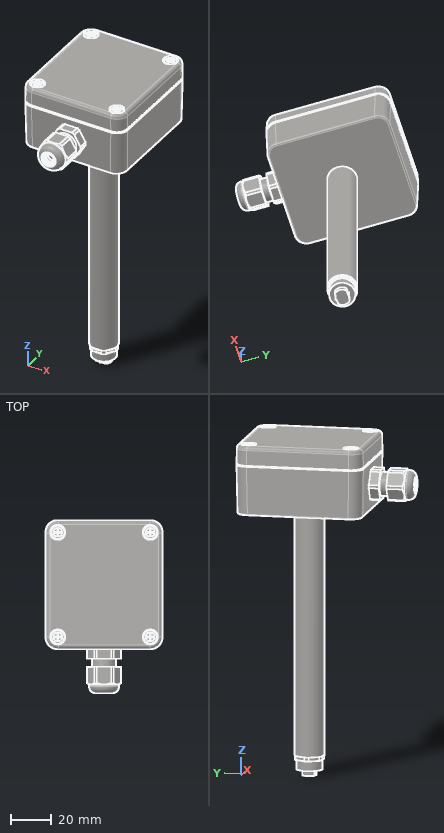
import cadquery as cq
import math

TOTAL_HEIGHT = 170.0
BOX_HEIGHT = 35.0
LID_HEIGHT = 9.9
SEAM_HEIGHT = 0.5
BASE_BOTTOM = TOTAL_HEIGHT - BOX_HEIGHT
SPLIT_HEIGHT = TOTAL_HEIGHT - LID_HEIGHT
BASE_HEIGHT = SPLIT_HEIGHT - SEAM_HEIGHT - BASE_BOTTOM

BOX_WIDTH = 58.0
BOX_DEPTH = 64.0
CORNER_RADIUS = 6.1
DRAFT_ANGLE = 1.0
LID_EDGE_RADIUS = 2.0
BASE_EDGE_RADIUS = 0.8
SEAM_INSET = 0.5

SCREW_SPACING_X = BOX_WIDTH - 2 * CORNER_RADIUS
SCREW_SPACING_Y = BOX_DEPTH - 2 * CORNER_RADIUS
COUNTERBORE_DIAMETER = 7.5
COUNTERBORE_DEPTH = 3.0
SCREW_DIAMETER = 6.5
SCREW_RIM_WIDTH = 1.0
SCREW_RIM_DROP = 0.8
RECESS_LENGTH = 3.5
RECESS_WIDTH = 0.7
RECESS_DEPTH = 1.4

GLAND_HEIGHT = 148.0
GLAND_EMBEDMENT = 1.7
GLAND_END = 53.7
GLAND_FLATS = 15.3
GLAND_CORNERS = 16.8
GLAND_BASE_END = 36.7
GLAND_NECK_END = 40.6
GLAND_NUT_END = 49.5
NUT_CHAMFER_LENGTH = 0.8
NECK_DIAMETER = 12.0
DOME_DIAMETER = 15.0
DOME_RADIUS = 3.4
ENTRY_STEPS = [(8.0, 0.5), (6.5, 1.0), (5.5, 1.7), (4.0, 3.4)]

TUBE_DIAMETER = 15.0
TUBE_BOTTOM = 10.0
TIP_COLLAR_FLATS = 14.0
TIP_COLLAR_BOTTOM = 8.0
TIP_BODY_DIAMETER = 13.1
TIP_BODY_BOTTOM = 2.9
STEM_DIAMETER = 8.3
STEM_FLATS = 6.1
STEM_BEAD_DIAMETER = 1.2


def drafted_block(height):
    """Block narrowing upwards from the XY plane, with rounded upright corners."""
    block = cq.Workplane("XY").rect(BOX_WIDTH, BOX_DEPTH).extrude(height, taper=DRAFT_ANGLE)
    return block.edges("not(#Z)").fillet(CORNER_RADIUS)


def trimmed_hexagon(plane, flats, corners, length):
    """Hexagonal prism whose corners are turned down to a cylinder."""
    hexagon = plane.polygon(6, flats / math.cos(math.pi / 6)).extrude(length)
    return hexagon.intersect(plane.circle(corners / 2).extrude(length))


def make_lid():
    """Lid with rounded top edges and a counterbore for each screw."""
    lid = drafted_block(LID_HEIGHT).faces(">Z").edges().fillet(LID_EDGE_RADIUS)
    lid = lid.translate((0, 0, SPLIT_HEIGHT))
    counterbores = (
        cq.Workplane("XY", origin=(0, 0, TOTAL_HEIGHT - COUNTERBORE_DEPTH))
        .rect(SCREW_SPACING_X, SCREW_SPACING_Y, forConstruction=True)
        .vertices()
        .circle(COUNTERBORE_DIAMETER / 2)
        .extrude(COUNTERBORE_DEPTH)
    )
    return lid.cut(counterbores)


def make_base():
    """Base with an inset rim that leaves a narrow seam under the lid."""
    base = drafted_block(BASE_HEIGHT).faces(">Z").edges().fillet(BASE_EDGE_RADIUS)
    base = base.mirror("XY").translate((0, 0, SPLIT_HEIGHT - SEAM_HEIGHT))
    rim = (
        cq.Workplane("XY", origin=(0, 0, SPLIT_HEIGHT - SEAM_HEIGHT))
        .rect(BOX_WIDTH - 2 * SEAM_INSET, BOX_DEPTH - 2 * SEAM_INSET)
        .extrude(SEAM_HEIGHT)
        .edges("|Z")
        .fillet(CORNER_RADIUS - SEAM_INSET)
    )
    return base.union(rim)


def make_screw(x, y):
    """Screw head with a sloping rim and a cross recess, seated in its counterbore."""
    screw = (
        cq.Workplane("XY", origin=(x, y, TOTAL_HEIGHT - COUNTERBORE_DEPTH))
        .circle(SCREW_DIAMETER / 2)
        .extrude(COUNTERBORE_DEPTH)
        .faces(">Z")
        .chamfer(SCREW_RIM_DROP, SCREW_RIM_WIDTH)
    )
    floor = cq.Workplane("XY", origin=(x, y, TOTAL_HEIGHT - RECESS_DEPTH))
    for length, width in ((RECESS_LENGTH, RECESS_WIDTH), (RECESS_WIDTH, RECESS_LENGTH)):
        screw = screw.cut(floor.rect(length, width).extrude(RECESS_DEPTH))
    return screw


def gland_plane(distance):
    """Plane facing -Y on the gland axis, at a distance from the probe axis."""
    return cq.Workplane("XZ", origin=(0, -distance, GLAND_HEIGHT))


def gland_cylinder(diameter, start, end):
    return gland_plane(start).circle(diameter / 2).extrude(end - start)


def gland_hexagon(start, end):
    return trimmed_hexagon(gland_plane(start), GLAND_FLATS, GLAND_CORNERS, end - start)


def make_gland_nut():
    """Hexagonal nut whose front corners are turned down to the dome diameter."""
    turned_corners = gland_cylinder(GLAND_CORNERS, GLAND_NECK_END, GLAND_NUT_END)
    chamfer_depth = (GLAND_CORNERS - DOME_DIAMETER) / 2
    turned_corners = turned_corners.faces("<Y").chamfer(NUT_CHAMFER_LENGTH, chamfer_depth)
    return gland_hexagon(GLAND_NECK_END, GLAND_NUT_END).intersect(turned_corners)


def make_gland():
    """One-piece gland whose base hexagon is let into the enclosure wall."""
    base_hexagon = gland_hexagon(BOX_DEPTH / 2 - GLAND_EMBEDMENT, GLAND_BASE_END)
    neck = gland_cylinder(NECK_DIAMETER, GLAND_BASE_END, GLAND_NECK_END)
    dome = gland_cylinder(DOME_DIAMETER, GLAND_NUT_END, GLAND_END).faces("<Y").edges().fillet(DOME_RADIUS)
    gland = base_hexagon.union(neck).union(make_gland_nut()).union(dome)
    for diameter, depth in ENTRY_STEPS:
        gland = gland.cut(gland_plane(GLAND_END).circle(diameter / 2).extrude(-depth))
    return gland


def make_tube():
    tube = cq.Workplane("XY", origin=(0, 0, TUBE_BOTTOM))
    return tube.circle(TUBE_DIAMETER / 2).extrude(BASE_BOTTOM - TUBE_BOTTOM)


def make_tip():
    """Sensor tip: hexagonal collar, round body and a flatted stem with a bead on each flat."""
    collar_plane = cq.Workplane("XY", origin=(0, 0, TIP_COLLAR_BOTTOM))
    collar = trimmed_hexagon(collar_plane, TIP_COLLAR_FLATS, TUBE_DIAMETER, TUBE_BOTTOM - TIP_COLLAR_BOTTOM)
    body = (
        cq.Workplane("XY", origin=(0, 0, TIP_BODY_BOTTOM))
        .circle(TIP_BODY_DIAMETER / 2)
        .extrude(TIP_COLLAR_BOTTOM - TIP_BODY_BOTTOM)
    )
    stem = cq.Workplane("XY").circle(STEM_DIAMETER / 2).extrude(TIP_BODY_BOTTOM)
    stem = stem.intersect(cq.Workplane("XY").rect(STEM_DIAMETER, STEM_FLATS).extrude(TIP_BODY_BOTTOM))
    beads = (
        cq.Workplane("XY")
        .pushPoints([(0, STEM_FLATS / 2), (0, -STEM_FLATS / 2)])
        .circle(STEM_BEAD_DIAMETER / 2)
        .extrude(TIP_BODY_BOTTOM)
    )
    return collar.union(body).union(stem).union(beads)


lid = make_lid()
gland = make_gland()
base = make_base().cut(gland)
tube = make_tube()
tip = make_tip()
screws = []
for side_x in (-1, 1):
    for side_y in (-1, 1):
        screws.append(make_screw(side_x * SCREW_SPACING_X / 2, side_y * SCREW_SPACING_Y / 2))

result = cq.Compound.makeCompound(
    [base.val(), lid.val(), gland.val(), tube.val(), tip.val(), *[screw.val() for screw in screws]]
)